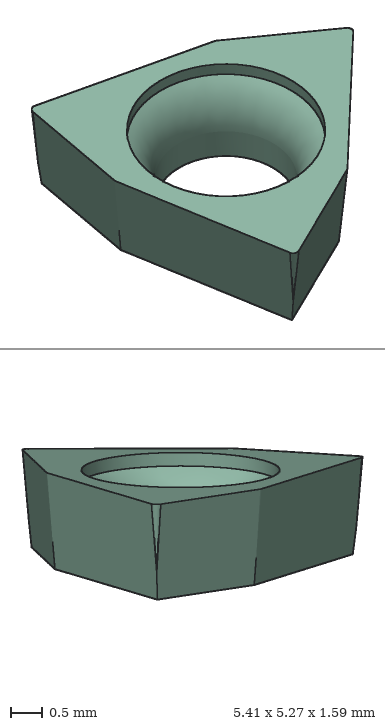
import math

import cadquery as cq

thickness = 1.59
clearance_angle = 5.0
corner_radius = 0.1

corner_count = 3
short_flank_distance = 2.167
long_flank_distance = 1.985
short_flank_direction = -90.0
flank_turn = 20.0

rim_radius = 1.6
bore_radius = 1.15
rim_depth = 0.22
seat_radius = 1.0

clearance_slope = math.tan(math.radians(clearance_angle))
apex_depth = corner_radius / clearance_slope
apex_z = thickness - apex_depth
bottom_inset = thickness * clearance_slope


def flanks():
    """Outward normal angle and distance from the axis of each flank, counterclockwise."""
    sides = []
    for corner in range(corner_count):
        direction = short_flank_direction + corner * 360.0 / corner_count
        sides.append((math.radians(direction), short_flank_distance))
        sides.append((math.radians(direction + flank_turn), long_flank_distance))
    return sides


def outline_points(inset):
    """Sharp outline vertices, moved inward by inset; vertex i ends flank i."""
    sides = flanks()
    points = []
    for (angle_a, offset_a), (angle_b, offset_b) in zip(sides, sides[1:] + sides[:1]):
        distance_a = offset_a - inset
        distance_b = offset_b - inset
        turn = math.sin(angle_b - angle_a)
        x = (distance_a * math.sin(angle_b) - distance_b * math.sin(angle_a)) / turn
        y = (distance_b * math.cos(angle_a) - distance_a * math.cos(angle_b)) / turn
        points.append((x, y))
    return points


def sharp_base():
    """Lower part, where the flanks meet in sharp edges."""
    bottom = cq.Wire.makePolygon([cq.Vector(x, y, 0) for x, y in outline_points(bottom_inset)], close=True)
    top = cq.Wire.makePolygon([cq.Vector(x, y, apex_z) for x, y in outline_points(corner_radius)], close=True)
    return cq.Workplane(cq.Solid.makeLoft([bottom, top], True))


def flank_wedge(start, end, normal_angle):
    """Wedge between the upright core and one leaning flank."""
    run = (end[0] - start[0], end[1] - start[1])
    plane = cq.Plane(
        origin=(end[0], end[1], apex_z),
        xDir=(math.cos(normal_angle), math.sin(normal_angle), 0),
        normal=(-run[0], -run[1], 0),
    )
    section = [(0, 0), (corner_radius, apex_depth), (0, apex_depth)]
    return cq.Workplane(plane).polyline(section).close().extrude(math.hypot(*run))


def corner_cone(point):
    """Cone rounding one vertex, with its apex down."""
    base = cq.Vector(point[0], point[1], apex_z)
    return cq.Workplane(cq.Solid.makeCone(0, corner_radius, apex_depth, pnt=base))


def rounded_top():
    """Upper part: upright core widened by flank wedges and vertex cones."""
    points = outline_points(corner_radius)
    body = cq.Workplane(origin=(0, 0, apex_z)).polyline(points).close().extrude(apex_depth)
    for index, (normal_angle, _) in enumerate(flanks()):
        body = body.union(flank_wedge(points[index - 1], points[index], normal_angle))
    for point in points:
        body = body.union(corner_cone(point))
    return body


def screw_hole():
    """Solid of revolution that removes the rim, the curved seat and the bore."""
    seat_centre_r = bore_radius + seat_radius
    rim_angle = math.acos((seat_centre_r - rim_radius) / seat_radius)
    seat_top_z = thickness - rim_depth
    seat_bottom_z = seat_top_z - seat_radius * math.sin(rim_angle)
    middle_angle = rim_angle / 2
    seat_middle = (
        seat_centre_r - seat_radius * math.cos(middle_angle),
        seat_bottom_z + seat_radius * math.sin(middle_angle),
    )
    return (
        cq.Workplane("XZ")
        .moveTo(0, 0)
        .lineTo(bore_radius, 0)
        .lineTo(bore_radius, seat_bottom_z)
        .threePointArc(seat_middle, (rim_radius, seat_top_z))
        .lineTo(rim_radius, thickness)
        .lineTo(0, thickness)
        .close()
        .revolve(360, (0, 0, 0), (0, 1, 0))
    )


result = sharp_base().union(rounded_top()).clean().cut(screw_hole())